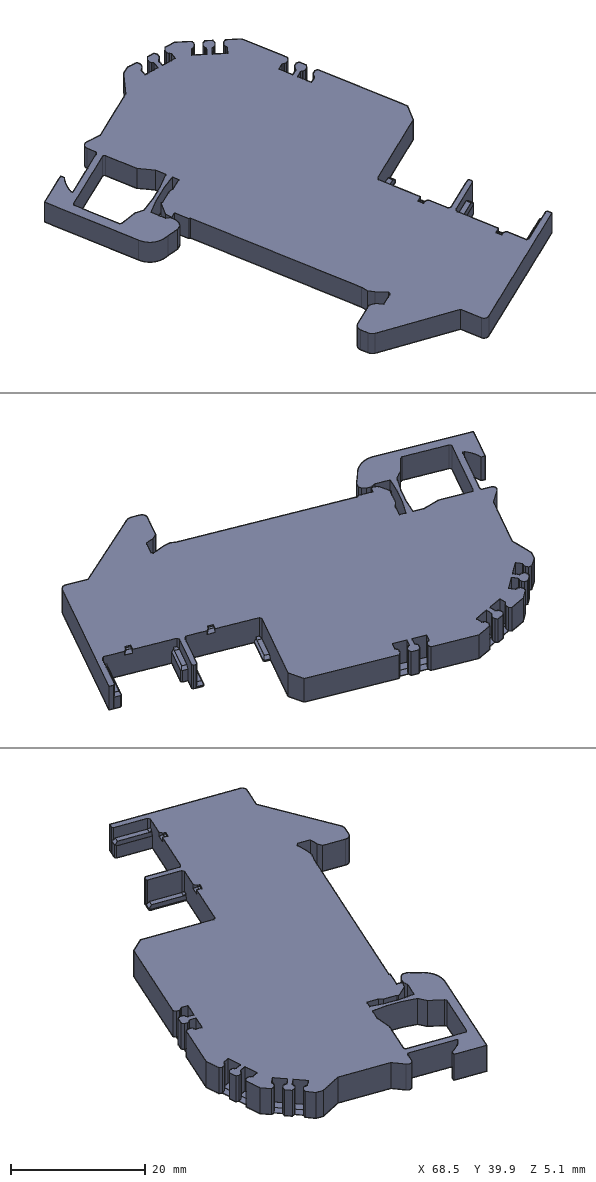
import cadquery as cq

length = 68.5
height = 39.9
thickness = 5.1

top_right_x = 40.5
top_chamfer = 1.9
bay_left_x = top_right_x + top_chamfer
bay_pitch = 13.0
bay_width = 12.15
bay_floor_y = 25.85
bay_wall_top_y = 31.9
bay_corner_radius = 0.3
bay_wall_bevel = 0.2
flank_bottom_y = 10.0
flank_radius = 0.8

lip_heights = (0.8, 3.0)
left_lip_width = 1.1
left_lip_top_y = 30.05
right_lip_width = 1.1
lip_side_run = 0.28
lip_side_drop = 0.6
lip_end_run = 0.5
lip_end_drop = 0.5
lip_root = 0.35
lip_corner_bevel = 0.2

recess_from_bay = 7.25
recess_width = 1.3
recess_taper = 0.4
recess_ramp = 0.5
recess_depth = 0.9
recess_drop = 0.3

slot_spacing = 3.1
slot_mouth_width = 1.9
slot_mouth_depth = 0.4
slot_neck_width = 1.3
slot_neck_end = 0.9
slot_throat_width = 1.7
slot_head_width = 2.3
slot_head_start = 1.25
slot_head_end = 2.5
slot_head_bevel = 0.2
slot_floor_z = 0.35
slot_overrun = 0.2
marker_rows = (
    (23.05, height, 0),
    (8.67, 37.43, 30),
    (2.16, 31.19, 60),
)

hook_x = 51.65
hook_radius = 0.9
hook_gap_x = 53.55

foot_floor = 1.45
spring_left_x = 13.9
spring_right_x = 15.0
spring_mid_y = 9.0
gap_top_y = 12.6
gap_bottom_y = 5.4
toe_x = 19.95
body_bottom_y = 7.05
stop_ledge_y = 6.85
stop_right_x = 18.2
window_radius = 0.35
heel_x = 2.95
heel_top_y = 5.35
heel_notch_y = 3.5
heel_arm_x = 4.0
shoulder_y = 11.65
heel_radius = 0.3
left_flank_x = 1.95


def plate():
    """Outer outline, going round from the lower left corner of the foot, with the spring gap."""
    bay_2_left_x = bay_left_x + bay_pitch
    wall_1_x = bay_left_x + bay_width
    wall_2_x = bay_2_left_x + bay_width
    outline = (
        cq.Workplane("XY")
        .moveTo(0, 0)
        .lineTo(0, heel_top_y)
        .lineTo(0.65, heel_top_y)
        .threePointArc((1.5, 4.3), (2.65, heel_notch_y))
        .lineTo(heel_x, heel_notch_y)
        .lineTo(heel_x, shoulder_y - heel_radius)
        .radiusArc((heel_x - heel_radius, shoulder_y), -heel_radius)
        .lineTo(1.25, shoulder_y)
        .tangentArcPoint((0.75, 12.75), relative=False)
        .lineTo(left_flank_x, 14.7)
        .lineTo(left_flank_x, 23.25)
        .lineTo(0, 26.45)
        .lineTo(0, 27.65)
        .lineTo(0.85, 28.99)
        .lineTo(4.25, 34.88)
        .lineTo(12.95, height)
        .lineTo(top_right_x, height)
        .lineTo(bay_left_x, height - top_chamfer)
        .lineTo(bay_left_x, bay_floor_y + bay_corner_radius)
        .lineTo(bay_left_x + bay_corner_radius, bay_floor_y)
        .lineTo(wall_1_x - bay_corner_radius, bay_floor_y)
        .lineTo(wall_1_x, bay_floor_y + bay_corner_radius)
        .lineTo(wall_1_x, bay_wall_top_y - bay_wall_bevel)
        .lineTo(wall_1_x + bay_wall_bevel, bay_wall_top_y)
        .lineTo(bay_2_left_x - bay_wall_bevel, bay_wall_top_y)
        .lineTo(bay_2_left_x, bay_wall_top_y - bay_wall_bevel)
        .lineTo(bay_2_left_x, bay_floor_y + bay_corner_radius)
        .lineTo(bay_2_left_x + bay_corner_radius, bay_floor_y)
        .lineTo(wall_2_x - bay_corner_radius, bay_floor_y)
        .lineTo(wall_2_x, bay_floor_y + bay_corner_radius)
        .lineTo(wall_2_x, bay_wall_top_y - bay_wall_bevel)
        .lineTo(wall_2_x + bay_wall_bevel, bay_wall_top_y)
        .lineTo(length, bay_wall_top_y)
        .lineTo(length, flank_bottom_y + flank_radius)
        .radiusArc((length - flank_radius, flank_bottom_y), flank_radius)
        .lineTo(64.2, flank_bottom_y)
        .lineTo(54.8, 0.4)
        .threePointArc((54.36, 0.11), (53.8, 0))
        .lineTo(hook_x + hook_radius, 0)
        .radiusArc((hook_x, hook_radius), hook_radius)
        .lineTo(hook_x, 4.6)
        .lineTo(52.3, 5.25)
        .lineTo(hook_gap_x, 5.8)
        .lineTo(hook_gap_x, 7.85)
        .lineTo(53.2, 8.1)
        .lineTo(51.35, 7.2)
        .lineTo(50.3, 6.88)
        .lineTo(49.2, body_bottom_y)
        .lineTo(20.75, body_bottom_y)
        .lineTo(20.6, stop_ledge_y)
        .lineTo(stop_right_x, stop_ledge_y)
        .lineTo(stop_right_x, 5.95)
        .lineTo(17.1, 6.05)
        .lineTo(15.55, 7.65)
        .lineTo(15.75, 7.8)
        .lineTo(15.75, 10.0)
        .lineTo(16.05, 10.7)
        .lineTo(16.05, gap_top_y)
        .lineTo(spring_right_x, gap_top_y)
        .threePointArc((14.72, spring_mid_y), (spring_right_x, gap_bottom_y))
        .lineTo(17.4, gap_bottom_y)
        .lineTo(18.1, 5.82)
        .lineTo(18.9, 5.82)
        .lineTo(19.6, 5.55)
        .lineTo(toe_x, 5.2)
        .lineTo(toe_x, 4.35)
        .lineTo(19.2, 2.65)
        .threePointArc((18.05, 0.85), (15.6, 0))
        .close()
    )
    return outline.extrude(thickness)


def foot_window():
    """Opening between the thin arm, the body, the spring and the foot."""
    outline = (
        cq.Workplane("XY")
        .moveTo(heel_arm_x, foot_floor + window_radius)
        .lineTo(heel_arm_x, shoulder_y - window_radius)
        .radiusArc((heel_arm_x + window_radius, shoulder_y), window_radius)
        .lineTo(9.55, shoulder_y)
        .lineTo(12.15, gap_top_y)
        .lineTo(spring_left_x, gap_top_y)
        .threePointArc((14.2, spring_mid_y), (spring_left_x, 5.3))
        .lineTo(12.9, 4.15)
        .lineTo(12.05, 1.7)
        .lineTo(11.8, foot_floor)
        .lineTo(heel_arm_x + window_radius, foot_floor)
        .radiusArc((heel_arm_x, foot_floor + window_radius), window_radius)
        .close()
    )
    return outline.extrude(thickness)


def lip(wall_x, side, width, end_y, top_z):
    """Low ledge along a bay wall; side is +1 when it reaches toward +X and -1 toward -X."""
    floor_y = bay_floor_y
    along = (
        cq.Workplane("YZ")
        .moveTo(floor_y - lip_root, 0)
        .lineTo(end_y, 0)
        .lineTo(end_y, top_z - lip_end_drop)
        .lineTo(end_y - lip_end_run, top_z)
        .lineTo(floor_y + lip_root, top_z)
        .lineTo(floor_y, top_z + lip_root)
        .lineTo(floor_y - lip_root, top_z + lip_root)
        .close()
        .extrude(side * (width + lip_root))
        .translate((wall_x - side * lip_root / 2, 0, 0))
    )
    across = (
        cq.Workplane("XZ")
        .moveTo(wall_x - side * lip_root, 0)
        .lineTo(wall_x + side * width, 0)
        .lineTo(wall_x + side * width, top_z - lip_side_drop)
        .lineTo(wall_x + side * (width - lip_side_run), top_z)
        .lineTo(wall_x + side * (width - lip_side_run), thickness)
        .lineTo(wall_x - side * lip_root, thickness)
        .close()
        .extrude(-height)
    )
    plan = (
        cq.Workplane("XY")
        .moveTo(wall_x - side * lip_root, floor_y - lip_root)
        .lineTo(wall_x + side * width, floor_y - lip_root)
        .lineTo(wall_x + side * width, end_y - lip_corner_bevel)
        .lineTo(wall_x + side * (width - lip_corner_bevel), end_y)
        .lineTo(wall_x - side * lip_root, end_y)
        .close()
        .extrude(thickness)
    )
    return along.intersect(across).intersect(plan)


def latch_recess(bay_x):
    """Shallow notch in the bay floor edge: a flat inner strip and a ramp falling toward the bay."""
    inner_y = bay_floor_y - recess_depth
    ramp_y = bay_floor_y - recess_ramp
    start_x = bay_x + recess_from_bay
    end_x = start_x + recess_width
    floor = (
        cq.Workplane("YZ")
        .moveTo(inner_y, thickness)
        .lineTo(inner_y, thickness - recess_drop)
        .lineTo(ramp_y, thickness - recess_drop)
        .lineTo(bay_floor_y, thickness - recess_drop - recess_ramp)
        .lineTo(bay_floor_y, thickness)
        .close()
        .extrude(recess_width)
        .translate((start_x, 0, 0))
    )
    plan = (
        cq.Workplane("XY")
        .moveTo(start_x, inner_y)
        .lineTo(start_x, bay_floor_y)
        .lineTo(end_x, bay_floor_y)
        .lineTo(end_x - recess_taper, ramp_y)
        .lineTo(end_x - recess_taper, inner_y)
        .close()
        .extrude(thickness)
    )
    return floor.intersect(plan)


def marker_slot():
    """T-shaped slot cutter: its edge lies on the X axis and the slot runs toward -Y."""
    neck_half = slot_neck_width / 2
    mouth_half = slot_mouth_width / 2
    mouth = (
        cq.Workplane("XY")
        .polyline([
            (-mouth_half, slot_overrun),
            (-mouth_half, 0),
            (-neck_half, -slot_mouth_depth),
            (neck_half, -slot_mouth_depth),
            (mouth_half, 0),
            (mouth_half, slot_overrun),
        ])
        .close()
        .extrude(thickness)
    )
    throat_half = slot_throat_width / 2
    neck_plan = (
        cq.Workplane("XY")
        .polyline([
            (-neck_half, -slot_mouth_depth),
            (-neck_half, -slot_neck_end),
            (-throat_half, -slot_head_start),
            (throat_half, -slot_head_start),
            (neck_half, -slot_neck_end),
            (neck_half, -slot_mouth_depth),
        ])
        .close()
        .extrude(thickness)
    )
    neck = (
        cq.Workplane("YZ")
        .moveTo(-slot_mouth_depth, 0)
        .lineTo(-slot_head_start, slot_floor_z)
        .lineTo(-slot_head_start, thickness)
        .lineTo(-slot_mouth_depth, thickness)
        .close()
        .extrude(throat_half, both=True)
        .intersect(neck_plan)
    )
    head = (
        cq.Workplane("XY", origin=(0, -(slot_head_start + slot_head_end) / 2, slot_floor_z))
        .rect(slot_head_width, slot_head_end - slot_head_start)
        .extrude(thickness)
        .edges("|Z and >Y")
        .chamfer(slot_head_bevel)
    )
    return mouth.union(neck).union(head)


result = plate().cut(foot_window())

for bay_number, lip_top_z in enumerate(lip_heights):
    bay_x = bay_left_x + bay_number * bay_pitch
    result = result.union(lip(bay_x, 1, left_lip_width, left_lip_top_y, lip_top_z))
    result = result.union(lip(bay_x + bay_width, -1, right_lip_width, bay_wall_top_y, lip_top_z))
    result = result.cut(latch_recess(bay_x))

for row_x, row_y, row_angle in marker_rows:
    for offset in (-slot_spacing / 2, slot_spacing / 2):
        slot = marker_slot().translate((offset, 0, 0))
        slot = slot.rotate((0, 0, 0), (0, 0, 1), row_angle)
        result = result.cut(slot.translate((row_x, row_y, 0)))